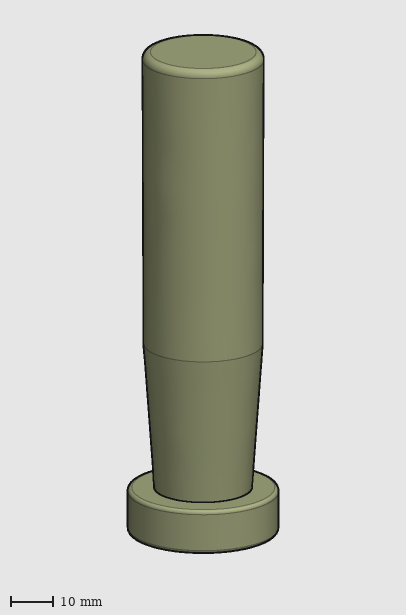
import cadquery as cq

total_height = 120.0
flange_diameter = 36.0
flange_height = 10.9
flange_edge_radius = 1.0

neck_diameter = 23.4
shoulder_diameter = 28.5
top_diameter = 29.0
shoulder_height = 47.0
top_edge_radius = 1.9


def make_flange():
    """Round base disc with both rims rounded."""
    disc = cq.Workplane("XY").circle(flange_diameter / 2).extrude(flange_height)
    return disc.edges("%CIRCLE").fillet(flange_edge_radius)


def make_handle():
    """Handle revolved about Z, starting at the flange's top face."""
    profile = (
        cq.Workplane("XZ")
        .moveTo(0, flange_height)
        .lineTo(neck_diameter / 2, flange_height)
        .lineTo(shoulder_diameter / 2, shoulder_height)
        .lineTo(top_diameter / 2, total_height)
        .lineTo(0, total_height)
        .close()
    )
    handle = profile.revolve(360, (0, 0, 0), (0, 1, 0))
    return handle.faces(">Z").edges().fillet(top_edge_radius)


result = make_flange().union(make_handle())